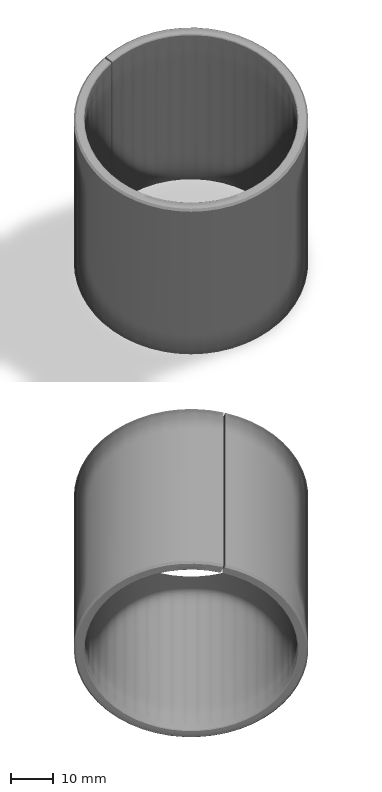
import cadquery as cq
import math

outer_diameter = 55.0
wall_thickness = 2.5
length = 55.0
outer_chamfer = 0.5
inner_chamfer = 0.2
joint_angle = 1.0

outer_radius = outer_diameter / 2
inner_radius = outer_radius - wall_thickness
half_length = length / 2


def sleeve():
    """Full ring, revolved about Z, with chamfers on all four rims."""
    profile = [
        (inner_radius, -half_length + inner_chamfer),
        (inner_radius + inner_chamfer, -half_length),
        (outer_radius - outer_chamfer, -half_length),
        (outer_radius, -half_length + outer_chamfer),
        (outer_radius, half_length - outer_chamfer),
        (outer_radius - outer_chamfer, half_length),
        (inner_radius + inner_chamfer, half_length),
        (inner_radius, half_length - inner_chamfer),
    ]
    axis_start = (0, 0)
    axis_end = (0, 1)
    return cq.Workplane("XZ").polyline(profile).close().revolve(360, axis_start, axis_end)


def joint_cutter():
    """Wedge with its tip on the Z axis; one face lies along -X and the gap opens toward +Y."""
    reach = outer_diameter
    width_at_reach = reach * math.tan(math.radians(joint_angle))
    wedge = [(0, 0), (-reach, 0), (-reach, width_at_reach)]
    return cq.Workplane("XY").polyline(wedge).close().extrude(length, both=True)


result = sleeve().cut(joint_cutter())